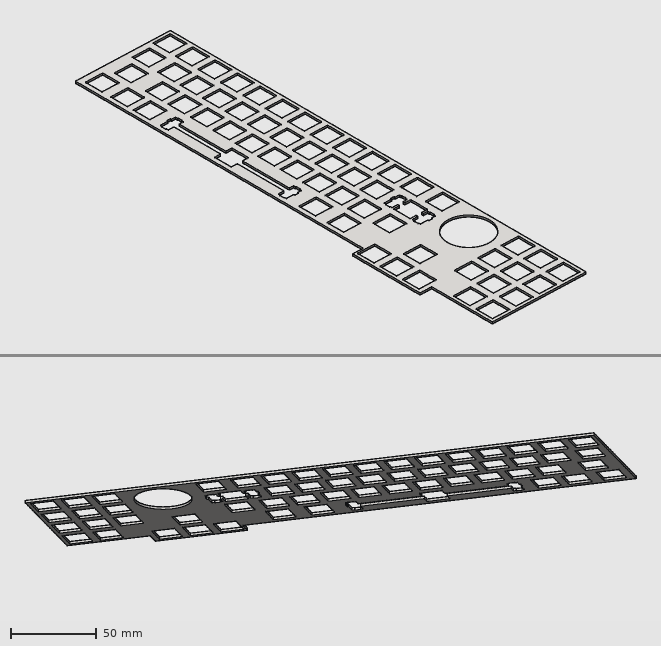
import cadquery as cq

plate_length = 352.5
thickness = 1.6
units_long = 18.5
units_deep = 4.5
pitch = plate_length / units_long

left_front = 77.2
right_front = 4 * pitch
tab_front = units_deep * pitch
tab_start = 244.0
tab_end = tab_start + 3 * pitch

key_rows = [
    (0, 0, [1] * 12 + [1.25]),
    (0, 1, [1.25] + [1] * 10 + [2]),
    (0, 2, [1.75] + [1] * 10 + [1.25]),
    (0, 3, [1.25, 1, 1, 6.25, 1.25, 1.25]),
    (13.75, 2.5, [1]),
    (12.75, 3.5, [1, 1, 1]),
    (15.5, 0, [1, 1, 1]),
    (15.5, 1, [1, 1, 1]),
    (15.5, 2, [1, 1, 1]),
    (16.5, 3, [1, 1]),
]
switch_size = 14.0

knob_x = 274.0
knob_y = -20.0
knob_diameter = 34.2

stabilizer_reach = {2: 12.0, 6.25: 50.0}
slot_width = 6.7
slot_length = 12.5
slot_drop = 0.53
end_relief_width = 3.5
end_relief_depth = 0.53
wire_slot_width = 4.2
notch_depth = 0.88
notch_width = 2.8
notch_rise = 0.88


def box_cutter(width, depth, center):
    return cq.Workplane("XY").center(*center).rect(width, depth).extrude(thickness)


def place_keys():
    """List every key as its width in key units and its centre on the plate."""
    keys = []
    for left_edge, back_edge, widths in key_rows:
        y = -(back_edge + 0.5) * pitch
        for width in widths:
            x = (left_edge + width / 2) * pitch
            keys.append((width, (x, y)))
            left_edge += width
    return keys


def make_plate():
    outline = [
        (0, 0),
        (plate_length, 0),
        (plate_length, -right_front),
        (tab_end, -right_front),
        (tab_end, -tab_front),
        (tab_start, -tab_front),
        (tab_start, -left_front),
        (0, -left_front),
    ]
    return cq.Workplane("XY").polyline(outline).close().extrude(thickness)


def switch_cutter(centers):
    return cq.Workplane("XY").pushPoints(centers).rect(switch_size, switch_size).extrude(thickness)


def knob_cutter():
    return cq.Workplane("XY").center(knob_x, knob_y).circle(knob_diameter / 2).extrude(thickness)


def stabilizer_cutter(center, reach):
    """Wire slot plus one notched slot at the distance reach on each side of the switch."""
    x, y = center
    relieved_length = slot_length + 2 * end_relief_depth
    cutter = box_cutter(2 * reach, wire_slot_width, center)
    for side in (-1, 1):
        slot_center = (x + side * reach, y - slot_drop)
        notch_center = (x + side * (reach + notch_depth), y + notch_rise)
        cutter = cutter.union(box_cutter(slot_width, slot_length, slot_center))
        cutter = cutter.union(box_cutter(end_relief_width, relieved_length, slot_center))
        cutter = cutter.union(box_cutter(slot_width, notch_width, notch_center))
    return cutter


keys = place_keys()
result = make_plate().cut(switch_cutter([center for _, center in keys])).cut(knob_cutter())
for key_width, key_center in keys:
    if key_width in stabilizer_reach:
        result = result.cut(stabilizer_cutter(key_center, stabilizer_reach[key_width]))